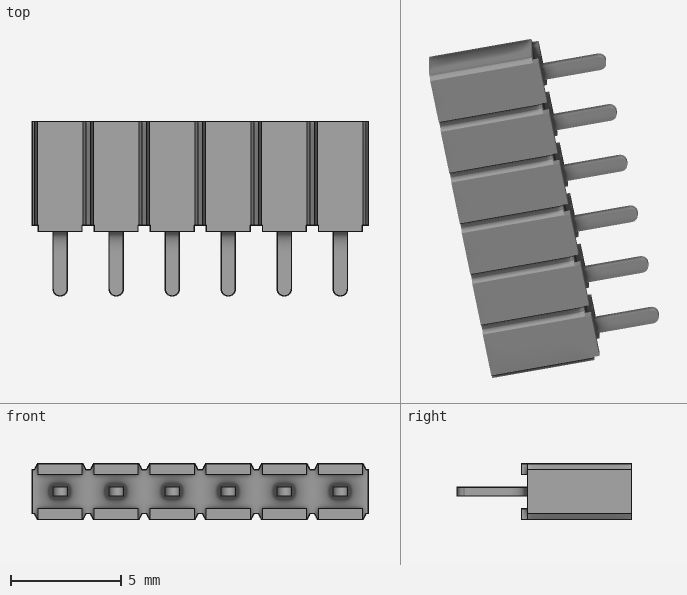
import cadquery as cq

cell_count = 6
length = 15.24
pitch = length / cell_count
height = 2.55
total_depth = 7.92
body_depth = 4.72

groove_depth = 0.27
groove_floor_half = 0.099
groove_mouth_half = 0.25

pad_width = 2.0
pad_height = 0.5
pad_depth = 0.27

pin_width = 0.65
pin_thickness = 0.41
pin_length = total_depth - body_depth
tip_radius = pin_width / 2

cell_centres = [(i + 0.5) * pitch - length / 2 for i in range(cell_count)]
cell_boundaries = [i * pitch - length / 2 for i in range(cell_count + 1)]


def make_body():
    """Block with its front face on y = 0, extending towards +Y."""
    return cq.Workplane("XY").box(length, body_depth, height).translate((0, body_depth / 2, 0))


def make_groove(x, side):
    """Cutter for one groove at x; side is +1 for the top and -1 for the bottom."""
    mouth_z = side * height / 2
    floor_z = side * (height / 2 - groove_depth)
    return (
        cq.Workplane("XZ")
        .moveTo(x - groove_mouth_half, mouth_z)
        .lineTo(x - groove_floor_half, floor_z)
        .lineTo(x + groove_floor_half, floor_z)
        .lineTo(x + groove_mouth_half, mouth_z)
        .close()
        .extrude(-body_depth)
    )


def make_pad(x, side):
    """Standoff pad in front of the body, at its top (+1) or bottom (-1) edge."""
    pad_z = side * (height - pad_height) / 2
    return cq.Workplane("XY").box(pad_width, pad_depth, pad_height).translate((x, -pad_depth / 2, pad_z))


def make_pin(x):
    """Flat pin pointing towards -Y; its tip is a full half circle."""
    shoulder_y = tip_radius - pin_length
    return (
        cq.Workplane("XY")
        .workplane(offset=-pin_thickness / 2)
        .moveTo(x - tip_radius, 0)
        .lineTo(x - tip_radius, shoulder_y)
        .threePointArc((x, -pin_length), (x + tip_radius, shoulder_y))
        .lineTo(x + tip_radius, 0)
        .close()
        .extrude(pin_thickness)
    )


result = make_body()

for side in (1, -1):
    for boundary in cell_boundaries:
        result = result.cut(make_groove(boundary, side))
    for centre in cell_centres:
        result = result.union(make_pad(centre, side))

for centre in cell_centres:
    result = result.union(make_pin(centre))